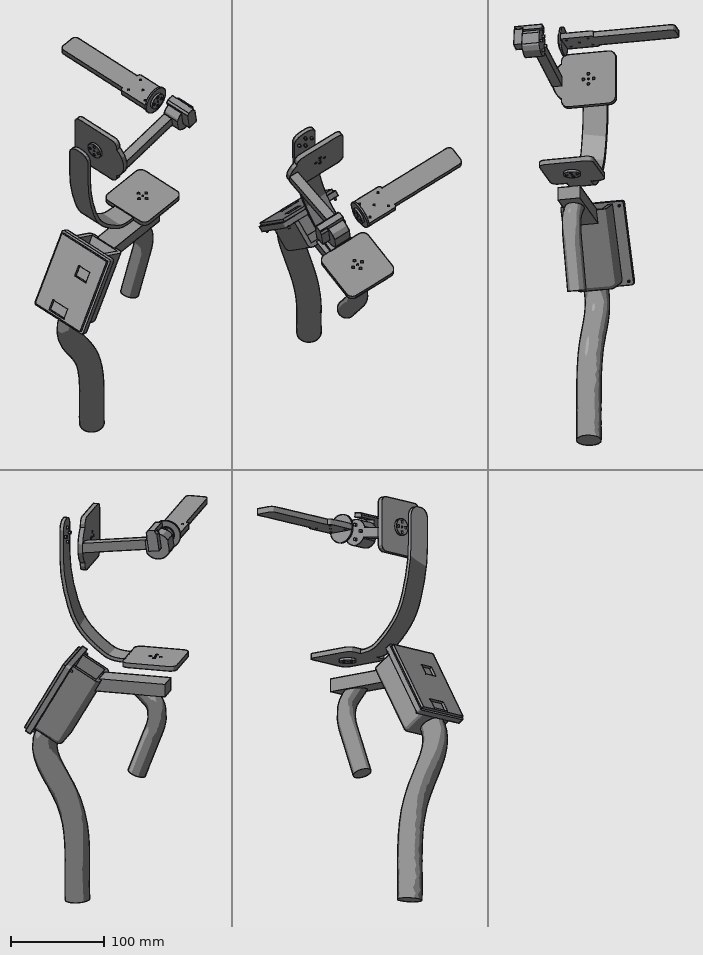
import cadquery as cq
import math


PLATE_SIDE = 60.0
PLATE_THICKNESS = 5.5
PLATE_CORNER = 7.5
HORN_DIAMETER = 18.0
HORN_THICKNESS = 2.5
HORN_HOLE_DIAMETER = 3.0
HORN_CENTRE_HOLE_DIAMETER = 1.8
HORN_HOLE_OFFSET = 5.8
PEG_DIAMETER = 3.0
PEG_LENGTH = 2.5
PEG_OFFSET = 8.0

WRIST_Y = 13.8
WRIST_Z = 140.5
SHOULDER_Z = 128.5

PADDLE_THICKNESS = 6.0
PADDLE_WIDTH = 24.0
PADDLE_TIP_X = -119.8
PADDLE_CORNER = 5.0
HANDLE_END_DIAMETER = 31.0
HANDLE_END_THICKNESS = 2.0
HANDLE_END_X = 7.0
PALM_START_X = -30.5
PALM_CORNER = 3.0
PALM_HOLE_DIAMETER = 2.15
PALM_CENTRE_X = -12.0
PALM_HOLE_X = 12.0
PALM_HOLE_Y = 9.8

DRUM_X = 29.3
DRUM_LENGTH = 19.0
DRUM_DIAMETER = 28.5
DRUM_SHIFT = 1.5
DRUM_FLATS = 25.5
BAR_WIDTH = 10.5
BAR_HEIGHT = 10.5
SHOULDER_PLATE_BACK_Y = -70.0
BAR_TILT = math.degrees(math.atan2(WRIST_Z - SHOULDER_Z, WRIST_Y - SHOULDER_PLATE_BACK_Y))
TAB_HALF_HEIGHT = 20.0

STOP_BACK = 4.5
STOP_FRONT = -5.5
STOP_THICKNESS = 5.0
STOP_CLEARANCE = 2.0
STOP_CHAMFER = 2.0
STOP_LEG_BACK = 6.0
STOP_LEG_BOTTOM = -1.8
STOP_LEG_WIDTH = 9.5
STOP_END_X = 59.5

STRAP_WIDTH = 26.5
STRAP_THICKNESS = 4.0
STRAP_TOP_Z = 147.0
STRAP_CORNER = 11.0
STRAP_BEND_Z = 107.0
STRAP_MIDDLE_Y = -100.5
STRAP_MIDDLE_Z = STRAP_THICKNESS / 2 - PLATE_THICKNESS
STRAP_CURVE = [(-93.5, 58.5), (-81.5, 29.5), (-56.5, 4.5)]

HOUSING_LEAN = 60
HOUSING_Y = -85.5
HOUSING_Z = -11.5
HOUSING_WIDTH = 45.2
HOUSING_LENGTH = 87.5
HOUSING_DEPTH = 33.3
HOUSING_WALL = 5.0
HOUSING_FILLET = 5.8
ARM_WIDTH = 24.5
ARM_END_Y = 13.8
ARM_TOP_Z = -26.5
ARM_HEIGHT = 14.0
LID_WIDTH = 69.0
LID_LENGTH = 91.5
LID_RIM_THICKNESS = 6.0
LID_PANEL_THICKNESS = 3.0
LID_PANEL_INSET = 2.5
LID_CORNER = 2.5
LID_OVERHANG = 2.0
POST_DIAMETER = 2.15
POST_LENGTH = 3.0
POST_INSET = 4.5
WINDOW_DEPTH = 3.0
WINDOWS = [(1.5, 17.5, -34.5, -21.7), (-13.5, 8.0, -84.5, -72.0)]

HOSE_DIAMETER = 26.5
HOSE_X = 3.5
HOSE_SETBACK = 13.5
HOSE_END = (-85.5, -280.5)
HOSE_END_DIRECTION = (-0.06, 1)
HOSE_CURVE = [(-86.0, -222.0), (-94.5, -173.5), (-109.0, -144.5), (-122.0, -112.0)]
HOOK_DIAMETER = 20.0
HOOK_REACH = 177.5
HOOK_START_DIRECTION = (1, -1)
HOOK_START = (-24.0, -29.0)
HOOK_BEND_START = (-4.0, -49.0)
HOOK_BEND_MIDDLE = (1.8, -69.0)
HOOK_BEND_END = (-5.5, -92.3)
HOOK_END = (-21.0, -133.0)
HOOK_END_DIRECTION = (HOOK_END[0] - HOOK_BEND_END[0], HOOK_END[1] - HOOK_BEND_END[1])


def plus_points(offset):
    """Four points, one along each half axis."""
    return [(offset, 0), (-offset, 0), (0, offset), (0, -offset)]


def horn(face):
    """Round coupling disc standing on the given workplane."""
    return face.circle(HORN_DIAMETER / 2).extrude(HORN_THICKNESS)


def horn_holes(face, depth):
    """Cutter for the coupling's cross of four holes and its centre hole, sunk from its rim."""
    rim = face.workplane(offset=HORN_THICKNESS)
    cross = rim.pushPoints(plus_points(HORN_HOLE_OFFSET)).circle(HORN_HOLE_DIAMETER / 2).extrude(-depth)
    return cross.union(rim.circle(HORN_CENTRE_HOLE_DIAMETER / 2).extrude(-depth))


def pegs(face):
    """Cross of four drive pegs standing on the given workplane."""
    return face.pushPoints(plus_points(PEG_OFFSET)).circle(PEG_DIAMETER / 2).extrude(PEG_LENGTH)


def make_handle():
    end_inner_x = HANDLE_END_X - HANDLE_END_THICKNESS
    underside = cq.Workplane("XY", origin=(0, WRIST_Y, WRIST_Z - PADDLE_THICKNESS / 2))
    paddle = (
        underside.moveTo((PADDLE_TIP_X + end_inner_x) / 2, 0)
        .rect(end_inner_x - PADDLE_TIP_X, PADDLE_WIDTH)
        .extrude(PADDLE_THICKNESS)
        .edges("|Z and <X")
        .fillet(PADDLE_CORNER)
    )
    palm = (
        underside.moveTo((PALM_START_X + end_inner_x) / 2, 0)
        .rect(end_inner_x - PALM_START_X, HANDLE_END_DIAMETER)
        .extrude(PADDLE_THICKNESS)
        .edges("|Z and <X")
        .fillet(PALM_CORNER)
    )
    end = (
        cq.Workplane("YZ", origin=(end_inner_x, WRIST_Y, WRIST_Z))
        .circle(HANDLE_END_DIAMETER / 2)
        .extrude(HANDLE_END_THICKNESS)
    )
    face = cq.Workplane("YZ", origin=(HANDLE_END_X, WRIST_Y, WRIST_Z))
    palm_holes = (
        underside.center(PALM_CENTRE_X, 0)
        .rect(2 * PALM_HOLE_X, 2 * PALM_HOLE_Y, forConstruction=True)
        .vertices()
        .circle(PALM_HOLE_DIAMETER / 2)
        .extrude(PADDLE_THICKNESS)
    )
    palm_centre_hole = (
        underside.center(PALM_CENTRE_X, 0).circle(PALM_HOLE_DIAMETER / 2).extrude(PADDLE_THICKNESS)
    )
    handle = paddle.union(palm).union(end).union(horn(face))
    handle = handle.cut(palm_holes).cut(palm_centre_hole)
    return handle.cut(horn_holes(face, HORN_THICKNESS))


def tilt_with_bar(shape):
    """Turn a shape about the wrist axis by the slope of the bar."""
    return shape.rotate((0, WRIST_Y, WRIST_Z), (1, WRIST_Y, WRIST_Z), BAR_TILT)


def make_wrist_link():
    bar_end_x = DRUM_X + BAR_WIDTH

    drum_plane = cq.Workplane("YZ", origin=(DRUM_X, WRIST_Y + DRUM_SHIFT, WRIST_Z))
    drum = drum_plane.circle(DRUM_DIAMETER / 2).extrude(DRUM_LENGTH)
    flats = drum_plane.rect(DRUM_FLATS, DRUM_DIAMETER).extrude(DRUM_LENGTH)
    drum = drum.intersect(tilt_with_bar(flats))

    half_rise = BAR_HEIGHT / 2 / math.cos(math.radians(BAR_TILT))
    bar = (
        cq.Workplane("YZ", origin=(DRUM_X, 0, 0))
        .polyline(
            [
                (WRIST_Y, WRIST_Z + half_rise),
                (WRIST_Y, WRIST_Z - half_rise),
                (SHOULDER_PLATE_BACK_Y, SHOULDER_Z - half_rise),
                (SHOULDER_PLATE_BACK_Y, SHOULDER_Z + half_rise),
            ]
        )
        .close()
        .extrude(BAR_WIDTH)
    )

    plate_plane = cq.Workplane("XZ", origin=(0, SHOULDER_PLATE_BACK_Y, SHOULDER_Z))
    plate = (
        plate_plane.rect(PLATE_SIDE, PLATE_SIDE)
        .extrude(PLATE_THICKNESS)
        .edges("|Y")
        .fillet(PLATE_CORNER)
    )
    tab = (
        plate_plane.moveTo(0, -TAB_HALF_HEIGHT)
        .lineTo(PLATE_SIDE / 2, -TAB_HALF_HEIGHT)
        .threePointArc((bar_end_x, 0), (PLATE_SIDE / 2, TAB_HALF_HEIGHT))
        .lineTo(0, TAB_HALF_HEIGHT)
        .close()
        .extrude(PLATE_THICKNESS)
    )
    face = plate_plane.workplane(offset=PLATE_THICKNESS)
    drive_face = cq.Workplane("YZ", origin=(DRUM_X, WRIST_Y, WRIST_Z)).transformed(rotate=(0, 180, 0))
    link = drum.union(bar).union(plate).union(tab).union(horn(face)).union(pegs(drive_face))
    return link.cut(horn_holes(face, HORN_THICKNESS + PLATE_THICKNESS))


def make_stop():
    bottom = DRUM_DIAMETER / 2 + STOP_CLEARANCE
    top = bottom + STOP_THICKNESS
    wrist_plane = cq.Workplane("YZ", origin=(DRUM_X, WRIST_Y, WRIST_Z))
    bridge = (
        wrist_plane.moveTo(STOP_FRONT, bottom)
        .lineTo(STOP_BACK, bottom)
        .lineTo(STOP_BACK, top)
        .lineTo(STOP_FRONT + STOP_CHAMFER, top)
        .lineTo(STOP_FRONT, top - STOP_CHAMFER)
        .close()
        .extrude(STOP_END_X - DRUM_X)
    )
    leg = (
        wrist_plane.workplane(offset=STOP_END_X - STOP_LEG_WIDTH - DRUM_X)
        .moveTo(STOP_FRONT, STOP_LEG_BOTTOM)
        .lineTo(STOP_LEG_BACK, STOP_LEG_BOTTOM)
        .lineTo(STOP_LEG_BACK, bottom)
        .lineTo(STOP_BACK, top - STOP_CHAMFER)
        .lineTo(STOP_FRONT, top - STOP_CHAMFER)
        .close()
        .extrude(STOP_LEG_WIDTH)
    )
    return tilt_with_bar(bridge.union(leg))


def make_curved_link():
    elbow_face = cq.Workplane("XY").workplane(offset=-PLATE_THICKNESS)
    plate = (
        elbow_face.rect(PLATE_SIDE, PLATE_SIDE)
        .extrude(PLATE_THICKNESS)
        .edges("|Z")
        .fillet(PLATE_CORNER)
    )
    path = (
        cq.Workplane("YZ")
        .moveTo(STRAP_MIDDLE_Y, STRAP_BEND_Z)
        .spline(
            STRAP_CURVE + [(-PLATE_SIDE / 2, STRAP_MIDDLE_Z)],
            tangents=[(0, -1), (1, 0)],
            includeCurrent=True,
        )
    )
    bend = (
        cq.Workplane("XY", origin=(0, STRAP_MIDDLE_Y, STRAP_BEND_Z))
        .rect(STRAP_WIDTH, STRAP_THICKNESS)
        .sweep(path)
    )
    upright_height = STRAP_TOP_Z - STRAP_BEND_Z
    upright = (
        cq.Workplane("XY", origin=(0, STRAP_MIDDLE_Y, STRAP_BEND_Z))
        .rect(STRAP_WIDTH, STRAP_THICKNESS)
        .extrude(upright_height)
        .edges("|Y and >Z")
        .fillet(STRAP_CORNER)
    )
    peg_face = cq.Workplane("XZ", origin=(0, STRAP_MIDDLE_Y + STRAP_THICKNESS / 2, SHOULDER_Z))
    shoulder_pegs = pegs(peg_face.transformed(rotate=(0, 180, 0)))
    horn_face = elbow_face.transformed(rotate=(180, 0, 0))
    link = plate.union(bend).union(upright).union(shoulder_pegs).union(horn(horn_face))
    return link.cut(horn_holes(horn_face, HORN_THICKNESS + PLATE_THICKNESS))


def leaning_plane():
    """Plane where lid and housing meet: local y runs up the box and z points out of the lid."""
    lean = math.radians(HOUSING_LEAN)
    return cq.Plane(
        origin=(0, HOUSING_Y, HOUSING_Z),
        xDir=(1, 0, 0),
        normal=(0, -math.sin(lean), math.cos(lean)),
    )


def make_housing():
    local_box = (
        cq.Workplane("XY")
        .center(0, -HOUSING_LENGTH / 2)
        .rect(HOUSING_WIDTH, HOUSING_LENGTH)
        .extrude(-HOUSING_DEPTH)
        .edges("<Y and |Z")
        .fillet(HOUSING_FILLET)
        .edges("<Z and (not >Y)")
        .fillet(HOUSING_FILLET)
    )
    cavity_length = HOUSING_LENGTH - HOUSING_WALL
    local_cavity = (
        cq.Workplane("XY")
        .center(0, -cavity_length / 2)
        .rect(HOUSING_WIDTH - 2 * HOUSING_WALL, cavity_length)
        .extrude(HOUSING_WALL - HOUSING_DEPTH)
    )
    place = cq.Location(leaning_plane())
    outside = cq.Workplane(local_box.val().moved(place))
    cavity = cq.Workplane(local_cavity.val().moved(place))
    arm = (
        cq.Workplane("XY", origin=(0, 0, ARM_TOP_Z - ARM_HEIGHT))
        .moveTo(0, (ARM_END_Y + HOUSING_Y) / 2)
        .rect(ARM_WIDTH, ARM_END_Y - HOUSING_Y)
        .extrude(ARM_HEIGHT)
    )
    return outside.union(arm).cut(cavity)


def make_lid():
    middle_y = LID_OVERHANG - LID_LENGTH / 2
    seat = cq.Workplane("XY")
    rim = (
        seat.center(0, middle_y)
        .rect(LID_WIDTH, LID_LENGTH)
        .extrude(LID_RIM_THICKNESS)
        .edges("|Z")
        .fillet(LID_CORNER)
    )
    panel = (
        seat.workplane(offset=LID_RIM_THICKNESS)
        .center(0, middle_y)
        .rect(LID_WIDTH - 2 * LID_PANEL_INSET, LID_LENGTH - 2 * LID_PANEL_INSET)
        .extrude(LID_PANEL_THICKNESS)
    )
    posts = (
        seat.center(0, middle_y)
        .rect(LID_WIDTH - 2 * POST_INSET, LID_LENGTH - 2 * POST_INSET, forConstruction=True)
        .vertices()
        .circle(POST_DIAMETER / 2)
        .extrude(-POST_LENGTH)
    )
    lid = rim.union(panel).union(posts)
    for left, right, bottom, top in WINDOWS:
        window = (
            seat.workplane(offset=LID_RIM_THICKNESS + LID_PANEL_THICKNESS)
            .moveTo((left + right) / 2, (bottom + top) / 2)
            .rect(right - left, top - bottom)
            .extrude(-WINDOW_DEPTH)
        )
        lid = lid.cut(window)
    return cq.Workplane(lid.val().moved(cq.Location(leaning_plane())))


def swept_tube(path, x, start, direction, diameter):
    """Round bar of the given diameter along a path in the plane at x."""
    plane = cq.Plane(origin=(x, *start), xDir=(1, 0, 0), normal=(0, *direction))
    return cq.Workplane(plane).circle(diameter / 2).sweep(path)


def make_hose():
    lean = math.radians(HOUSING_LEAN)
    up_box = (math.cos(lean), math.sin(lean))
    top = (
        HOUSING_Y - HOUSING_LENGTH * up_box[0] + HOSE_SETBACK * up_box[1],
        HOUSING_Z - HOUSING_LENGTH * up_box[1] - HOSE_SETBACK * up_box[0],
    )
    path = (
        cq.Workplane("YZ", origin=(HOSE_X, 0, 0))
        .moveTo(*HOSE_END)
        .spline(HOSE_CURVE + [top], tangents=[HOSE_END_DIRECTION, up_box], includeCurrent=True)
    )
    return swept_tube(path, HOSE_X, HOSE_END, HOSE_END_DIRECTION, HOSE_DIAMETER)


def make_hook():
    path = (
        cq.Workplane("YZ")
        .moveTo(*HOOK_START)
        .lineTo(*HOOK_BEND_START)
        .spline(
            [HOOK_BEND_MIDDLE, HOOK_BEND_END],
            tangents=[HOOK_START_DIRECTION, HOOK_END_DIRECTION],
            includeCurrent=True,
        )
        .lineTo(*HOOK_END)
    )
    tube = swept_tube(path, 0, HOOK_START, HOOK_START_DIRECTION, HOOK_DIAMETER)
    arm_underside = cq.Workplane("XY", origin=(0, 0, ARM_TOP_Z - ARM_HEIGHT))
    below_arm = arm_underside.rect(HOOK_REACH, HOOK_REACH).extrude(-HOOK_REACH)
    return tube.intersect(below_arm)


handle = make_handle()
wrist_link = make_wrist_link()
stop = make_stop()
curved_link = make_curved_link()
housing = make_housing()
lid = make_lid()
hose = make_hose()
hook = make_hook()
bodies = [handle, wrist_link, stop, curved_link, housing, lid, hose, hook]
result = cq.Compound.makeCompound([body.solids().val() for body in bodies])